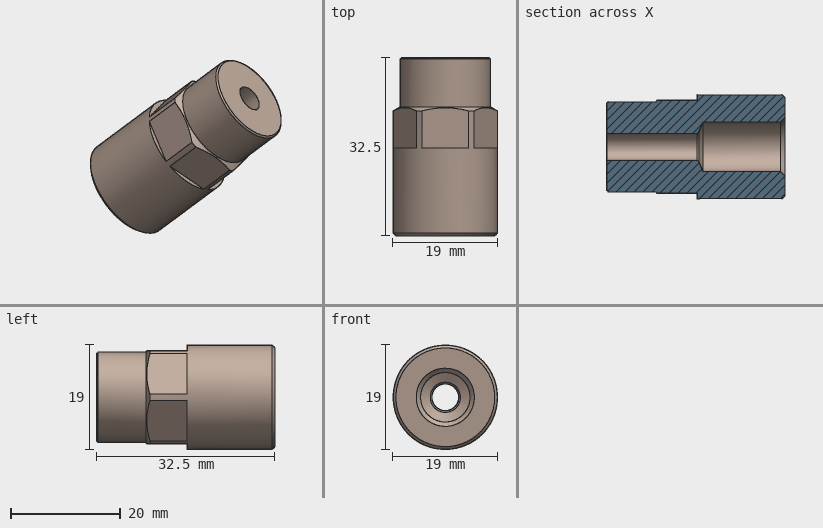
import cadquery as cq
import math

total_length = 32.5
body_diameter = 19.0
spigot_diameter = 16.5
spigot_length = 9.0
spigot_chamfer = 0.3
front_chamfer = 0.52
shoulder_angle = 30.0

hex_sides = 6
hex_across_flats = 17.0
hex_length = 7.5

mouth_diameter = 10.6
bore_diameter = 9.0
seat_diameter = 5.5
through_diameter = 4.85
bore_depth = 14.95
mouth_angle = 45.0
floor_angle = 67.5
seat_angle = 45.0

hex_end = total_length - spigot_length
hex_start = hex_end - hex_length


def cone_length(large_diameter, small_diameter, half_angle):
    """Axial length of a cone between two diameters."""
    return (large_diameter - small_diameter) / 2 / math.tan(math.radians(half_angle))


def revolve_about_y(profile):
    """Solid of revolution from (radius, y) points, closed along the Y axis."""
    axis_points = [(0, profile[-1][1]), (0, profile[0][1])]
    outline = cq.Workplane("XY").polyline(profile + axis_points).close()
    return outline.revolve(360, (0, 0, 0), (0, 1, 0))


def make_body():
    body_radius = body_diameter / 2
    spigot_radius = spigot_diameter / 2
    shoulder_length = cone_length(body_diameter, spigot_diameter, 90 - shoulder_angle)
    return revolve_about_y([
        (body_radius - front_chamfer, 0),
        (body_radius, front_chamfer),
        (body_radius, hex_end - shoulder_length),
        (spigot_radius, hex_end),
        (spigot_radius, total_length - spigot_chamfer),
        (spigot_radius - spigot_chamfer, total_length),
    ])


def make_flat_cutter():
    """Material outside the hexagon, whose flats include the top and bottom."""
    across_corners = hex_across_flats / math.cos(math.radians(180 / hex_sides))
    start_plane = cq.Workplane("XZ", origin=(0, hex_start, 0))
    return start_plane.circle(body_diameter).polygon(hex_sides, across_corners).extrude(-hex_length)


def make_bore():
    mouth_end = cone_length(mouth_diameter, bore_diameter, mouth_angle)
    floor_end = bore_depth + cone_length(bore_diameter, seat_diameter, floor_angle)
    seat_end = floor_end + cone_length(seat_diameter, through_diameter, seat_angle)
    return revolve_about_y([
        (mouth_diameter / 2, 0),
        (bore_diameter / 2, mouth_end),
        (bore_diameter / 2, bore_depth),
        (seat_diameter / 2, floor_end),
        (through_diameter / 2, seat_end),
        (through_diameter / 2, total_length),
    ])


result = make_body().cut(make_flat_cutter()).cut(make_bore())